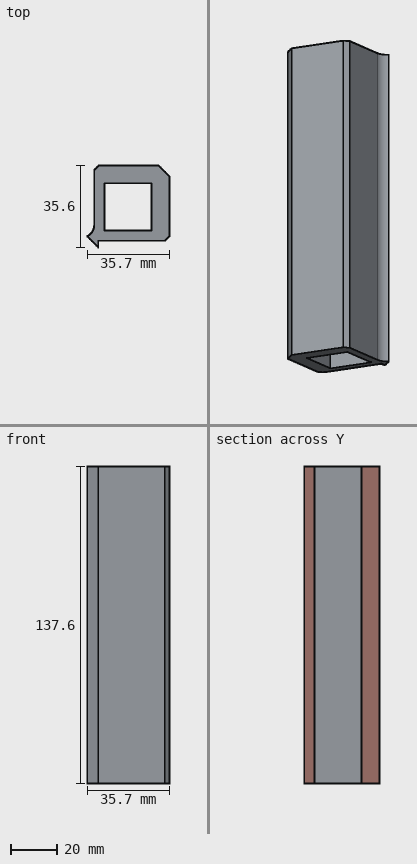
import cadquery as cq
import math

length = 137.6
body_width = 32.7
thick_wall = 7.8
bore_width = 20.4
small_chamfer = 2.0
large_chamfer = 4.8
lip_overhang_x = 3.0
lip_overhang_y = 2.9
lip_span = 5.0
lip_fillet_radius = 5.2

lip_tip_y = lip_span - lip_overhang_y
lip_back_x = lip_span - lip_overhang_x
arc_centre_x = -lip_fillet_radius
tip_offset_x = lip_fillet_radius - lip_overhang_x
arc_drop = math.sqrt(lip_fillet_radius**2 - tip_offset_x**2)
arc_centre_y = lip_tip_y + arc_drop
half_angle = math.atan2(arc_drop, tip_offset_x) / 2
arc_middle = (
    arc_centre_x + lip_fillet_radius * math.cos(half_angle),
    arc_centre_y - lip_fillet_radius * math.sin(half_angle),
)


def make_body():
    """Chamfered square bar with a pointed lip along one corner."""
    return (
        cq.Workplane("XY")
        .moveTo(lip_back_x, 0)
        .lineTo(body_width - small_chamfer, 0)
        .lineTo(body_width, small_chamfer)
        .lineTo(body_width, body_width - large_chamfer)
        .lineTo(body_width - large_chamfer, body_width)
        .lineTo(small_chamfer, body_width)
        .lineTo(0, body_width - small_chamfer)
        .lineTo(0, arc_centre_y)
        .threePointArc(arc_middle, (-lip_overhang_x, lip_tip_y))
        .lineTo(lip_back_x, -lip_overhang_y)
        .close()
        .extrude(length)
    )


def make_bore():
    """Square through bore, set off-centre toward the lip."""
    bore_centre = body_width - thick_wall - bore_width / 2
    return (
        cq.Workplane("XY")
        .center(bore_centre, bore_centre)
        .rect(bore_width, bore_width)
        .extrude(length)
    )


result = make_body().cut(make_bore())